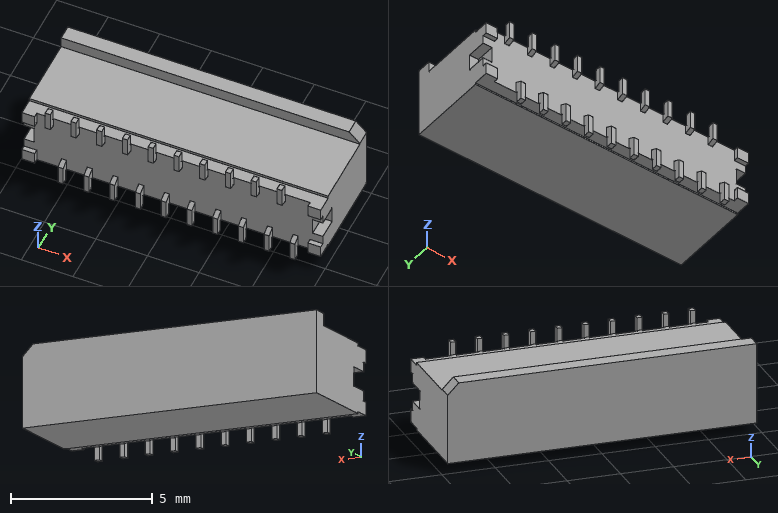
import cadquery as cq


length = 11.6
depth = 3.8
height = 2.59

lip_depth = 0.59
lip_height = 0.45
lip_chamfer = 0.42

step_depth = 0.45
top_step = 0.1
bottom_step = 0.07
face_bottom = bottom_step
face_top = height - top_step

foot_width = 0.5
foot_height = 0.5
foot_projection = 0.19

pocket_width = 0.4
pocket_depth = 0.8
pocket_height = 0.7
pocket_bottom = 0.94

tails_per_row = 10
end_margin = 1.05
half_pitch = (length - 2 * end_margin) / (2 * tails_per_row - 1)
tail_width = 0.2
tail_projection = 0.29
tail_gap = 0.05
upper_tip = 2.97
upper_bend_front = 2.2
upper_bend_back = 2.12
lower_tip = -0.41
lower_bend_front = 0.4
lower_bend_back = 0.55


def block(x, y, z, size_x, size_y, size_z):
    """Box with its lowest corner at (x, y, z)."""
    return cq.Workplane("XY").box(size_x, size_y, size_z, centered=False).translate((x, y, z))


def make_housing():
    """Stepped body, extruded along X from its YZ profile."""
    profile = [
        (0, face_bottom),
        (step_depth, face_bottom),
        (step_depth, 0),
        (depth, 0),
        (depth, height),
        (step_depth, height),
        (step_depth, face_top),
        (0, face_top),
    ]
    return cq.Workplane("YZ").polyline(profile).close().extrude(length)


def make_lip():
    """Lip with one chamfered upper corner."""
    lip = block(0, depth - lip_depth, height, length, lip_depth, lip_height)
    return lip.faces(">X").edges(">Z").chamfer(lip_chamfer)


def make_tail(x_center, face_edge, tip, bend_front, bend_back):
    """Tail that joins the contact face up to its edge, then runs clear of it to the tip."""
    profile = [
        (0, bend_back),
        (-tail_projection, bend_front),
        (-tail_projection, tip),
        (-tail_gap, tip),
        (-tail_gap, face_edge),
        (0, face_edge),
    ]
    tail = cq.Workplane("YZ").polyline(profile).close().extrude(tail_width / 2, both=True)
    return tail.translate((x_center, 0, 0))


result = make_housing().union(make_lip())

for x in (0, length - foot_width):
    for z in (face_bottom, face_top - foot_height):
        result = result.union(block(x, -foot_projection, z, foot_width, foot_projection, foot_height))

for x in (0, length - pocket_width):
    result = result.cut(block(x, 0, pocket_bottom, pocket_width, pocket_depth, pocket_height))

for index in range(tails_per_row):
    upper_x = end_margin + 2 * index * half_pitch
    lower_x = upper_x + half_pitch
    upper_tail = make_tail(upper_x, face_top, upper_tip, upper_bend_front, upper_bend_back)
    lower_tail = make_tail(lower_x, face_bottom, lower_tip, lower_bend_front, lower_bend_back)
    result = result.union(upper_tail).union(lower_tail)